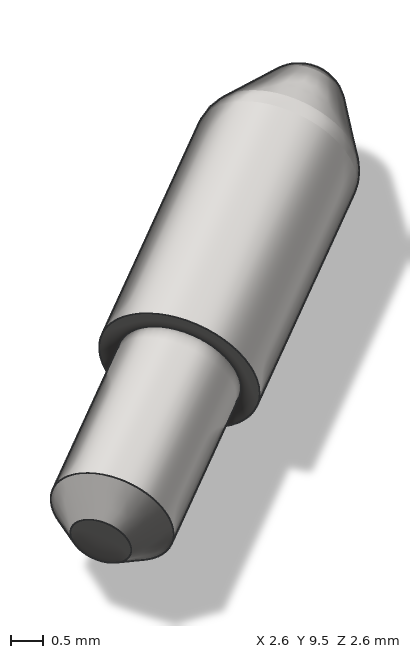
import cadquery as cq
import math

TOTAL_LENGTH = 9.5
BARREL_DIAMETER = 2.6
STEM_DIAMETER = 1.995
STEM_LENGTH = 3.5
STEM_CHAMFER = 0.5
NOSE_HALF_ANGLE = 30.0
NOSE_LENGTH = 1.51
EDGE_RADIUS = 0.6

barrel_radius = BARREL_DIAMETER / 2
stem_radius = STEM_DIAMETER / 2
stem_end_y = -TOTAL_LENGTH / 2
shoulder_y = stem_end_y + STEM_LENGTH
tip_y = TOTAL_LENGTH / 2
nose_base_y = tip_y - NOSE_LENGTH
tip_radius = barrel_radius - NOSE_LENGTH * math.tan(math.radians(NOSE_HALF_ANGLE))


def make_barrel():
    """Barrel with a conical nose, rounded at the cone base and at the flat tip."""
    profile = (
        cq.Workplane("XY")
        .moveTo(0, shoulder_y)
        .lineTo(barrel_radius, shoulder_y)
        .lineTo(barrel_radius, nose_base_y)
        .lineTo(tip_radius, tip_y)
        .lineTo(0, tip_y)
        .close()
    )
    body = profile.revolve(360, (0, 0, 0), (0, 1, 0))
    nose_edges = body.faces("%CONE").edges("%CIRCLE")
    return nose_edges.fillet(EDGE_RADIUS)


def make_stem():
    """Narrower stem that butts against the barrel shoulder, chamfered at its free end."""
    shoulder_plane = cq.Workplane("XZ", origin=(0, shoulder_y, 0))
    stem = shoulder_plane.circle(stem_radius).extrude(STEM_LENGTH)
    return stem.faces("<Y").chamfer(STEM_CHAMFER)


barrel = make_barrel()
stem = make_stem()

result = cq.Compound.makeCompound([barrel.val(), stem.val()])